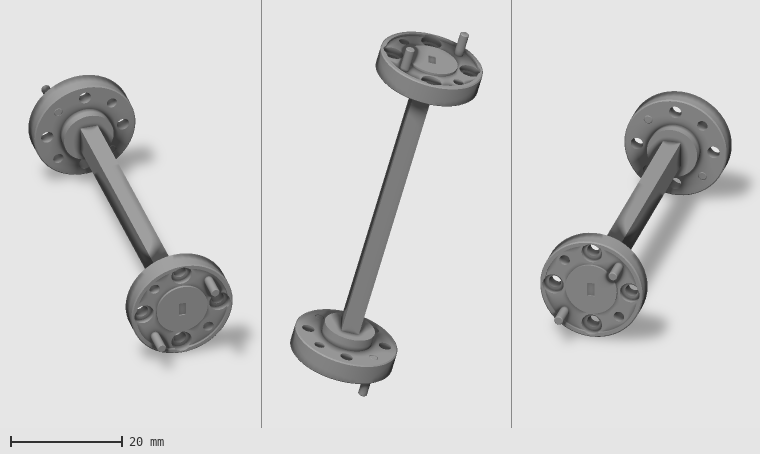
import cadquery as cq
import math

total_length = 71.25
pin_tip_x = total_length / 2

flange_diameter = 19.0
flange_thickness = 4.0
flange_chamfer = 0.2
face_x = 31.7
flange_back_x = face_x - flange_thickness

recess_outer_diameter = 17.25
boss_diameter = 9.55
recess_depth = 0.5

hub_diameter = 9.3
hub_length = 2.3
tube_width = 3.3
tube_height = 4.6

window_width = 1.3
window_height = 2.6
window_depth = 0.3

hole_circle_radius = 7.1
screw_hole_diameter = 2.3
counterbore_diameter = 3.8
counterbore_depth = 1.6
socket_diameter = 1.9
pin_diameter = 1.65
pin_chamfer = 0.15
screw_angles = [0, 90, 180, 270]
pin_angles = [45, 225]
socket_angles = [135, 315]


def disc(diameter, start_x, end_x, angle=None):
    """Cylinder along X, on the axis or on the hole circle at the given angle."""
    y = 0
    z = 0
    if angle is not None:
        y = hole_circle_radius * math.cos(math.radians(angle))
        z = hole_circle_radius * math.sin(math.radians(angle))
    return (
        cq.Workplane("YZ", origin=(start_x, y, z))
        .circle(diameter / 2)
        .extrude(end_x - start_x)
    )


def make_flange():
    """Flange with hub at the +X end, mating face toward +X."""
    flange = disc(flange_diameter, flange_back_x, face_x).edges().chamfer(flange_chamfer)
    flange = flange.union(disc(hub_diameter, flange_back_x - hub_length, flange_back_x))

    recess_floor_x = face_x - recess_depth
    recess = disc(recess_outer_diameter, recess_floor_x, face_x)
    recess = recess.cut(disc(boss_diameter, recess_floor_x, face_x))
    flange = flange.cut(recess)

    for angle in screw_angles:
        flange = flange.cut(disc(screw_hole_diameter, flange_back_x, face_x, angle))
        flange = flange.cut(disc(counterbore_diameter, face_x - counterbore_depth, face_x, angle))
    for angle in socket_angles:
        flange = flange.cut(disc(socket_diameter, flange_back_x, face_x, angle))
    for angle in pin_angles:
        flange = flange.cut(disc(pin_diameter, flange_back_x, face_x, angle))

    window = cq.Workplane("YZ", origin=(face_x - window_depth, 0, 0))
    window = window.rect(window_width, window_height).extrude(window_depth)
    return flange.cut(window)


def make_waveguide():
    """Tube with a flange at each end, the -X flange turned half round about Z."""
    tube_length = 2 * (flange_back_x - hub_length)
    tube = cq.Workplane("XY").box(tube_length, tube_width, tube_height)
    flange = make_flange()
    turned_flange = flange.rotate((0, 0, 0), (0, 0, 1), 180)
    return tube.union(flange).union(turned_flange)


def make_pin(angle):
    """Alignment pin at the +X end, flush with the flange back, chamfered at both ends."""
    return disc(pin_diameter, flange_back_x, pin_tip_x, angle).edges("%CIRCLE").chamfer(pin_chamfer)


waveguide = make_waveguide()
pins = []
for turn in [0, 180]:
    for pin_angle in pin_angles:
        pin = make_pin(pin_angle).rotate((0, 0, 0), (0, 0, 1), turn)
        pins.append(pin.val())

result = cq.Compound.makeCompound([waveguide.val(), *pins])